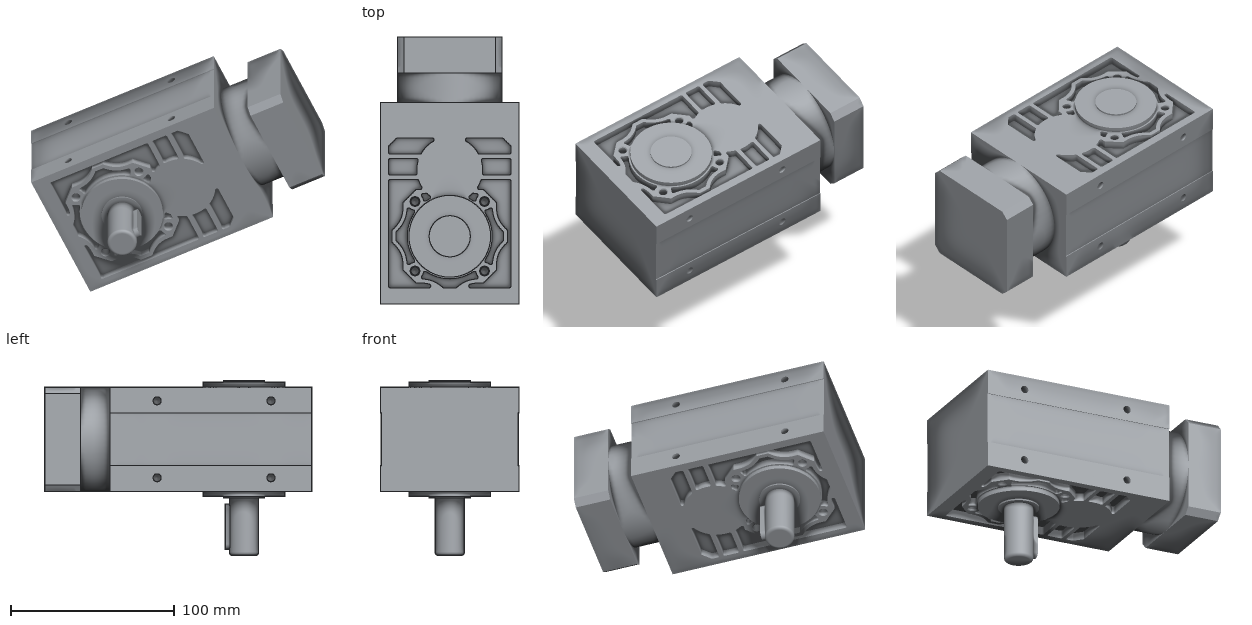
import cadquery as cq
import math


housing_width = 85.0
housing_height = 64.0
housing_front = -41.5
housing_rear = 81.9
side_recess_depth = 0.5
side_recess_height = 32.4

adapter_neck_length = 18.0
adapter_plate_length = 22.0
adapter_size = housing_height
adapter_chamfer = 4.1

flange_radius = 25.0
flange_height = 3.0
hub_radius = 12.6
hub_height = 1.0
shaft_radius = 9.0
shaft_length = 35.2
shaft_end_fillet = 2.0
key_width = 6.0
key_length = 27.8
key_end_gap = 3.8
key_reach = 11.6

pocket_depth = 5.0
pocket_half_width = 37.5
pocket_front = -31.5
pocket_rear = 60.2
pocket_chamfer = 5.0
pocket_fillet = 1.1
rib_thickness = 2.6
rib_centers = (36.1, 48.9)
gear_pad_y = 40.7
gear_pad_radius = 20.1

lobe_square_half = 28.6
lobe_corner_chamfer = 8.0
lobe_half_size = 35.3
lobe_arc_start = 17.2
lobe_arc_radius = 16.4
lobe_arc_sweep = 45.0
lobe_wall = 2.5
flange_seat_radius = 26.0
bolt_boss_radius = 5.2

bolt_offset = 21.3
bolt_radius = 2.5
bolt_chamfer = 0.5
bolt_depth = 12.0
side_hole_radius = 2.5
side_hole_depth = 10.0
side_hole_places_y = (-16.5, 53.1)
side_hole_offset_z = 23.5
drill_point_angle = 118.0

half_width = housing_width / 2
half_height = housing_height / 2
pocket_floor = half_height - pocket_depth


def centered_box(x_size, y_start, y_end, z_start, z_end):
    """Box centred on X, spanning the given Y and Z ranges."""
    start = cq.Workplane("XY", origin=(0, y_start, z_start))
    return start.box(x_size, y_end - y_start, z_end - z_start, centered=(True, False, False))


def cylinder(x, y, radius, z_start, height):
    """Upright cylinder; a negative height grows downwards."""
    return cq.Workplane("XY", origin=(x, y, z_start)).circle(radius).extrude(height)


def housing():
    """Block with a shallow band relieved along each long side."""
    block = centered_box(housing_width, housing_front, housing_rear, -half_height, half_height)
    band_top = side_recess_height / 2
    band = centered_box(2 * side_recess_depth, housing_front, housing_rear, -band_top, band_top)
    for side in (-1, 1):
        block = block.cut(band.translate((side * half_width, 0, 0)))
    return block


def motor_adapter():
    """Round neck followed by a square plate with chamfered long edges."""
    neck_end = housing_rear + adapter_neck_length
    neck_plane = cq.Workplane("XZ", origin=(0, housing_rear, 0))
    neck = neck_plane.circle(adapter_size / 2).extrude(-adapter_neck_length)
    plate = centered_box(
        adapter_size, neck_end, neck_end + adapter_plate_length, -adapter_size / 2, adapter_size / 2
    )
    return neck.union(plate.edges("|Y").chamfer(adapter_chamfer))


def output_side():
    """Flange and hub on both large faces, with the keyed shaft below."""
    hub_face = half_height + flange_height + hub_height
    flanges = cylinder(0, 0, flange_radius, -half_height - flange_height, housing_height + 2 * flange_height)
    hubs = cylinder(0, 0, hub_radius, -hub_face, 2 * hub_face)
    shaft = cylinder(0, 0, shaft_radius, -hub_face, -shaft_length).faces("<Z").fillet(shaft_end_fillet)
    key_center = -hub_face - shaft_length + key_end_gap + key_length / 2
    key = cq.Workplane("XZ", origin=(0, 0, key_center)).slot2D(key_length, key_width, 90).extrude(-key_reach)
    return flanges.union(hubs).union(shaft).union(key)


def quarter_turned(point, quarter_turns):
    """Rotate an (x, y) point about the shaft axis by a number of quarter turns."""
    x, y = point
    for _ in range(quarter_turns):
        x, y = -y, x
    return x, y


def lobe_arc_point(angle):
    """Point on the concave arc of the +X side, at an angle in degrees from the arc's start."""
    sweep = math.radians(angle)
    x = lobe_square_half + lobe_arc_radius * (1 - math.cos(sweep))
    y = lobe_arc_start - lobe_arc_radius * math.sin(sweep)
    return x, y


def lobed_outline():
    """Chamfered square with a bump on each side, blended by concave arcs into 45-degree flanks."""
    corner = lobe_square_half - lobe_corner_chamfer
    arc_middle_x, arc_middle_y = lobe_arc_point(lobe_arc_sweep / 2)
    arc_end_x, arc_end_y = lobe_arc_point(lobe_arc_sweep)
    flank_rise = lobe_half_size - arc_end_x
    bump_half = arc_end_y - flank_rise / math.tan(math.radians(lobe_arc_sweep))

    outline = cq.Workplane("XY", origin=(0, 0, pocket_floor)).moveTo(corner, -lobe_square_half)
    for quarter in range(4):

        def at(x, y):
            return quarter_turned((x, y), quarter)

        outline = (
            outline.lineTo(*at(lobe_square_half, -corner))
            .lineTo(*at(lobe_square_half, -lobe_arc_start))
            .threePointArc(at(arc_middle_x, -arc_middle_y), at(arc_end_x, -arc_end_y))
            .lineTo(*at(lobe_half_size, -bump_half))
            .lineTo(*at(lobe_half_size, bump_half))
            .lineTo(*at(arc_end_x, arc_end_y))
            .threePointArc(at(arc_middle_x, arc_middle_y), at(lobe_square_half, lobe_arc_start))
            .lineTo(*at(lobe_square_half, corner))
        )
    return outline.close()


def bolt_places():
    """Centres of the four bolt holes around the shaft axis."""
    return [(x, y) for x in (-bolt_offset, bolt_offset) for y in (-bolt_offset, bolt_offset)]


def is_rounded_corner(edge):
    """True for upright edges on the outer pocket walls, the gear pad or a bolt boss."""
    tolerance = 0.002
    place = edge.Center()
    on_outer_wall = (
        abs(abs(place.x) - pocket_half_width) < tolerance or abs(place.y - pocket_front) < tolerance
    )
    on_gear_pad = abs(math.hypot(place.x, place.y - gear_pad_y) - gear_pad_radius) < tolerance
    on_boss = any(
        abs(math.hypot(place.x - x, place.y - y) - bolt_boss_radius) < tolerance for x, y in bolt_places()
    )
    return on_outer_wall or on_gear_pad or on_boss


def face_pockets():
    """Everything sunk into the upper face, as one cutting body."""
    area = centered_box(2 * pocket_half_width, pocket_front, pocket_rear, pocket_floor, half_height)
    area = area.edges("|Z and >Y").chamfer(pocket_chamfer)
    area = area.cut(cylinder(0, gear_pad_y, gear_pad_radius, pocket_floor, pocket_depth))

    around_lobes = area.cut(lobed_outline().extrude(pocket_depth))
    for y in rib_centers:
        rib = centered_box(
            housing_width, y - rib_thickness / 2, y + rib_thickness / 2, pocket_floor, half_height
        )
        around_lobes = around_lobes.cut(rib)

    inside_lobes = area.intersect(lobed_outline().offset2D(-lobe_wall).extrude(pocket_depth))
    inside_lobes = inside_lobes.cut(cylinder(0, 0, flange_seat_radius, pocket_floor, pocket_depth))
    for x, y in bolt_places():
        inside_lobes = inside_lobes.cut(cylinder(x, y, bolt_boss_radius, pocket_floor, pocket_depth))

    pockets = around_lobes.union(inside_lobes)
    return pockets.edges("|Z").filter(is_rounded_corner).fillet(pocket_fillet)


def blind_hole(radius, depth, mouth_chamfer=0.0):
    """Drilled hole from the origin down -Z with a conical bottom."""
    point_depth = radius / math.tan(math.radians(drill_point_angle / 2))
    profile = cq.Workplane("XZ").lineTo(radius + mouth_chamfer, 0)
    if mouth_chamfer:
        profile = profile.lineTo(radius, -mouth_chamfer)
    profile = profile.lineTo(radius, -depth).lineTo(0, -depth - point_depth).close()
    return profile.revolve(360, (0, 0, 0), (0, 1, 0))


def side_holes():
    """Four blind holes in each long side."""
    right_hole = blind_hole(side_hole_radius, side_hole_depth).rotate((0, 0, 0), (0, 1, 0), 90)
    right_hole = right_hole.translate((half_width, 0, 0))
    holes = cq.Workplane("XY")
    for y in side_hole_places_y:
        for z in (-side_hole_offset_z, side_hole_offset_z):
            hole = right_hole.translate((0, y, z))
            holes = holes.add(hole).add(hole.mirror("YZ"))
    return holes.combine()


def face_holes():
    """Four chamfered bolt holes around the upper flange."""
    hole = blind_hole(bolt_radius, bolt_depth, bolt_chamfer)
    holes = cq.Workplane("XY")
    for x, y in bolt_places():
        holes = holes.add(hole.translate((x, y, half_height)))
    return holes.combine()


upper_cuts = face_pockets().union(face_holes())
body = housing().cut(upper_cuts).cut(upper_cuts.mirror("XY")).cut(side_holes())
result = body.union(motor_adapter()).union(output_side())